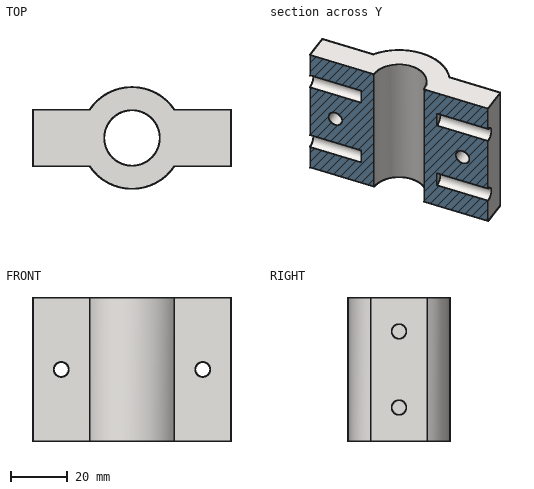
import cadquery as cq

length = 70.0
height = 50.8
plate_thickness = 20.0
barrel_diameter = 36.05
bore_diameter = 19.5

screw_diameter = 5.2
cross_hole_spacing = 50.0
end_hole_spacing = 26.9
end_hole_depth = plate_thickness


def make_body():
    """Flat plate with a round barrel through its middle, centred on the origin."""
    plate = cq.Workplane("XY").box(length, plate_thickness, height)
    barrel = cq.Workplane("XY").circle(barrel_diameter / 2).extrude(height / 2, both=True)
    return plate.union(barrel)


def cut_bore(body):
    """Vertical bore through the barrel."""
    bore = cq.Workplane("XY").circle(bore_diameter / 2).extrude(height / 2, both=True)
    return body.cut(bore)


def cut_cross_holes(body):
    """One hole through the thickness of each ear."""
    holes = (
        cq.Workplane("XZ")
        .pushPoints([(side * cross_hole_spacing / 2, 0) for side in (-1, 1)])
        .circle(screw_diameter / 2)
        .extrude(plate_thickness / 2, both=True)
    )
    return body.cut(holes)


def cut_end_holes(body):
    """A pair of blind holes, one above the other, in each end face."""
    for face in ("<X", ">X"):
        body = (
            body.faces(face)
            .workplane(centerOption="CenterOfBoundBox")
            .pushPoints([(0, side * end_hole_spacing / 2) for side in (-1, 1)])
            .hole(screw_diameter, end_hole_depth)
        )
    return body


result = make_body()
result = cut_bore(result)
result = cut_cross_holes(result)
result = cut_end_holes(result)